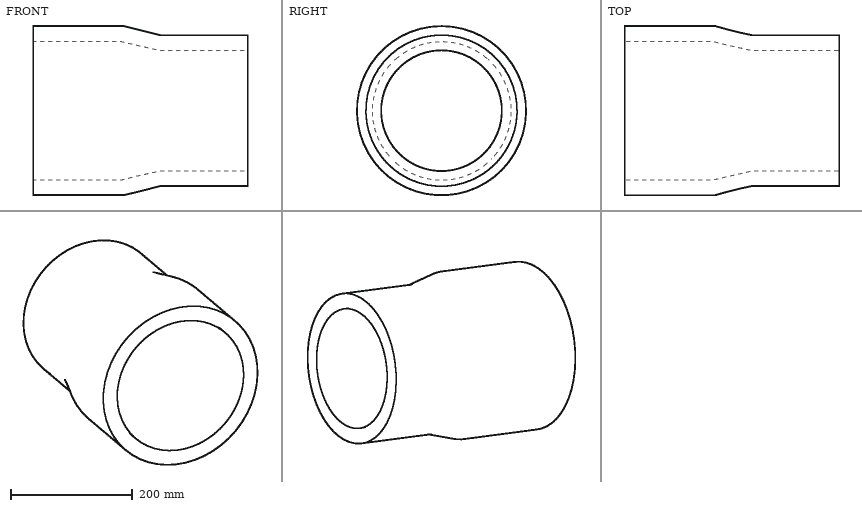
import cadquery as cq

large_outer_diameter = 280.0
large_bore_diameter = 229.2
small_outer_diameter = 250.0
small_bore_diameter = 199.2

total_length = 355.0
outer_taper_start = 150.0
bore_taper_start = 145.0
taper_end = 210.0


def stepped_body(large_diameter, small_diameter, taper_start):
    """Solid of revolution about X: large cylinder, cone, small cylinder."""
    large_radius = large_diameter / 2
    small_radius = small_diameter / 2
    return (
        cq.Workplane("XZ")
        .moveTo(0, 0)
        .lineTo(0, large_radius)
        .lineTo(taper_start, large_radius)
        .lineTo(taper_end, small_radius)
        .lineTo(total_length, small_radius)
        .lineTo(total_length, 0)
        .close()
        .revolve(360, (0, 0, 0), (1, 0, 0))
    )


outer_body = stepped_body(large_outer_diameter, small_outer_diameter, outer_taper_start)
bore = stepped_body(large_bore_diameter, small_bore_diameter, bore_taper_start)

result = outer_body.cut(bore)